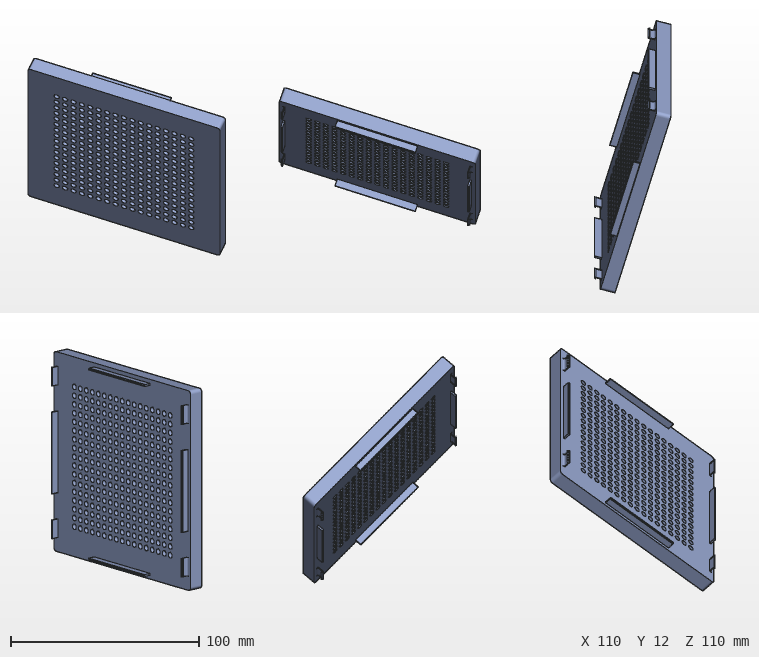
import cadquery as cq

side = 110.0
overall_depth = 12.0
plate_depth = 8.0
corner_radius = 2.0

hole_diameter = 3.0
holes_per_row = 17
hole_field = 77.0
hole_pitch = hole_field / (holes_per_row - 1)

tab_inset = 2.2
tab_thickness = 1.0
long_tab_length = 45.0
tab_tip_chamfer = 0.4

snap_tab_length = 10.2
snap_tab_offset = 42.0
snap_leg_thickness = 0.4
snap_barb_size = 0.8
snap_foot_radius = 1.0

front_y = -overall_depth / 2
back_y = front_y + plate_depth
tip_y = overall_depth / 2
tab_outer = side / 2 - tab_inset
tab_inner = tab_outer - tab_thickness


def perforated_plate():
    plate = cq.Workplane("XZ", origin=(0, back_y, 0)).rect(side, side).extrude(plate_depth)
    plate = plate.edges("|Y").fillet(corner_radius)
    holes = (
        cq.Workplane("XZ", origin=(0, back_y, 0))
        .rarray(hole_pitch, hole_pitch, holes_per_row, holes_per_row)
        .circle(hole_diameter / 2)
        .extrude(plate_depth)
    )
    return plate.cut(holes)


def long_tab():
    """Flat tab on the +X side with its outer tip edge chamfered."""
    profile = (
        cq.Workplane("XY")
        .moveTo(tab_inner, back_y)
        .lineTo(tab_outer, back_y)
        .lineTo(tab_outer, tip_y - tab_tip_chamfer)
        .lineTo(tab_outer - tab_tip_chamfer, tip_y)
        .lineTo(tab_inner, tip_y)
        .close()
    )
    return profile.extrude(long_tab_length / 2, both=True)


def snap_tab(center_z):
    """Thin leg with a 45 degree ramped barb at its tip and a fillet at its foot."""
    leg_outer = tab_inner + snap_leg_thickness
    barb_outer = leg_outer + snap_barb_size
    barb_y = tip_y - snap_barb_size
    foot_x = leg_outer + snap_foot_radius
    foot_y = back_y + snap_foot_radius
    profile = (
        cq.Workplane("XY", origin=(0, 0, center_z))
        .moveTo(tab_inner, back_y)
        .lineTo(foot_x, back_y)
        .radiusArc((leg_outer, foot_y), snap_foot_radius)
        .lineTo(leg_outer, barb_y)
        .lineTo(barb_outer, barb_y)
        .lineTo(leg_outer, tip_y)
        .lineTo(tab_inner, tip_y)
        .close()
    )
    return profile.extrude(snap_tab_length / 2, both=True)


def turned(shape, angle):
    """Turn a shape about the Y axis through the plate centre."""
    return shape.rotate((0, 0, 0), (0, 1, 0), angle)


result = perforated_plate()

for angle in (0, 90, 180, 270):
    result = result.union(turned(long_tab(), angle))

for angle in (0, 180):
    for center_z in (-snap_tab_offset, snap_tab_offset):
        result = result.union(turned(snap_tab(center_z), angle))